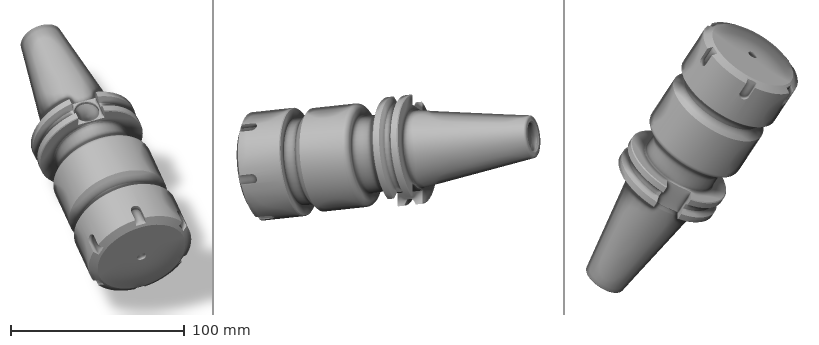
import cadquery as cq
import math

LENGTH = 172.9

TAPER_LENGTH = 68.3
TAPER_SLOPE = 7 / 48
GAUGE_RADIUS = 44.5 / 2
TAPER_END_FILLET = 1.4
FLANGE_START = 71.5
FLANGE_END = 87.1
FLANGE_RADIUS = 31.6
FLANGE_CHAMFER = 0.5
ROOT_FILLET = 0.9
GROOVE_CENTER = 79.4
GROOVE_FLOOR_WIDTH = 3.3
GROOVE_FLOOR_RADIUS = 28.2
GROOVE_FLANK_ANGLE = 30.0

SLOT_WIDTH = 16.0
UPPER_SLOT_FLOOR = 24.5
LOWER_SLOT_FLOOR = 22.7
DIMPLE_DIAMETER = 14.4
DIMPLE_RIM_CHAMFER = 0.3
DIMPLE_WALL_DEPTH = 2.0
DRILL_POINT_ANGLE = 118.0

BARREL_START = 103.2
BARREL_END = 132.8
BARREL_RADIUS = 60.0 / 2
BARREL_FILLET = 3.1
COLLAR_RADIUS = 50.3 / 2
THREAD_RADIUS = 50.0 / 2

MOUTH_DIAMETER = 18.3
PILOT_DIAMETER = 16.5
PILOT_DEPTH = 4.3
BORE_DIAMETER = 13.3

COLLET_REAR_RADIUS = 31.0 / 2
COLLET_LARGE_RADIUS = 41.2 / 2
COLLET_FRONT_RADIUS = 38.0 / 2
COLLET_CONE_ANGLE = 8.0
COLLET_FRONT_LENGTH = 9.5
COLLET_HOLE_DIAMETER = 5.5

NUT_START = 144.4
NUT_RADIUS = 62.8 / 2
NUT_REAR_CHAMFER = 0.5
NUT_FACE_CHAMFER_LENGTH = 2.6
NUT_FACE_RADIUS = 26.8
SPANNER_SLOT_COUNT = 6
SPANNER_SLOT_WIDTH = 5.9
SPANNER_SLOT_LENGTH = 12.6
SPANNER_SLOT_FLOOR = 28.2

SHOULDER_X = LENGTH - COLLET_FRONT_LENGTH
COLLET_CONE_LENGTH = (COLLET_LARGE_RADIUS - COLLET_REAR_RADIUS) / math.tan(math.radians(COLLET_CONE_ANGLE))
COLLET_REAR_X = SHOULDER_X - COLLET_CONE_LENGTH


def revolve_about_x(profile):
    """Turn a closed (x, radius) sketch about the X axis."""
    return profile.close().revolve(360, (0, 0, 0), (1, 0, 0))


def rod(x_start, x_end, radius):
    return cq.Workplane("YZ", origin=(x_start, 0, 0)).circle(radius).extrude(x_end - x_start)


def quarter_round_middle(center_x, center_r, radius, x_side, r_side):
    """Middle point of a quarter-round, on the given sides of its centre."""
    offset = radius * math.sqrt(0.5)
    return (center_x + x_side * offset, center_r + r_side * offset)


def outer_round(sketch, x_face, rim_radius, fillet):
    """Round from a face facing -X onto the surface of radius rim_radius."""
    center_x = x_face + fillet
    center_r = rim_radius - fillet
    middle = quarter_round_middle(center_x, center_r, fillet, -1, 1)
    return sketch.lineTo(x_face, center_r).threePointArc(middle, (center_x, rim_radius))


def round_up_to_wall(sketch, x_wall):
    """Root fillet that leaves the gauge radius and climbs the wall at x_wall."""
    center_x = x_wall - ROOT_FILLET
    center_r = GAUGE_RADIUS + ROOT_FILLET
    middle = quarter_round_middle(center_x, center_r, ROOT_FILLET, 1, -1)
    return sketch.lineTo(center_x, GAUGE_RADIUS).threePointArc(middle, (x_wall, center_r))


def round_down_from_wall(sketch, x_wall):
    """Root fillet that leaves the wall at x_wall and runs out on the gauge radius."""
    center_x = x_wall + ROOT_FILLET
    center_r = GAUGE_RADIUS + ROOT_FILLET
    middle = quarter_round_middle(center_x, center_r, ROOT_FILLET, -1, -1)
    return sketch.lineTo(x_wall, center_r).threePointArc(middle, (center_x, GAUGE_RADIUS))


def holder_blank():
    """Turned outside of the holder, from the small end of the taper to the threaded nose."""
    end_radius = GAUGE_RADIUS - TAPER_LENGTH * TAPER_SLOPE
    fillet_radius = end_radius + TAPER_END_FILLET * TAPER_SLOPE
    flank_run = (FLANGE_RADIUS - GROOVE_FLOOR_RADIUS) * math.tan(math.radians(GROOVE_FLANK_ANGLE))
    half_floor = GROOVE_FLOOR_WIDTH / 2
    half_mouth = half_floor + flank_run
    rim = FLANGE_RADIUS - FLANGE_CHAMFER
    barrel_chamfer = BARREL_RADIUS - COLLAR_RADIUS

    profile = outer_round(cq.Workplane("XY"), 0, fillet_radius, TAPER_END_FILLET)
    profile = profile.lineTo(TAPER_LENGTH, GAUGE_RADIUS)
    profile = round_up_to_wall(profile, FLANGE_START)
    profile = (
        profile
        .lineTo(FLANGE_START, rim)
        .lineTo(FLANGE_START + FLANGE_CHAMFER, FLANGE_RADIUS)
        .lineTo(GROOVE_CENTER - half_mouth, FLANGE_RADIUS)
        .lineTo(GROOVE_CENTER - half_floor, GROOVE_FLOOR_RADIUS)
        .lineTo(GROOVE_CENTER + half_floor, GROOVE_FLOOR_RADIUS)
        .lineTo(GROOVE_CENTER + half_mouth, FLANGE_RADIUS)
        .lineTo(FLANGE_END - FLANGE_CHAMFER, FLANGE_RADIUS)
        .lineTo(FLANGE_END, rim)
    )
    profile = round_down_from_wall(profile, FLANGE_END)
    profile = round_up_to_wall(profile, BARREL_START)
    profile = outer_round(profile, BARREL_START, BARREL_RADIUS, BARREL_FILLET)
    profile = (
        profile
        .lineTo(BARREL_END, BARREL_RADIUS)
        .lineTo(BARREL_END + barrel_chamfer, COLLAR_RADIUS)
        .lineTo(NUT_START, COLLAR_RADIUS)
        .lineTo(NUT_START, THREAD_RADIUS)
        .lineTo(SHOULDER_X, THREAD_RADIUS)
        .lineTo(SHOULDER_X, 0)
    )
    return revolve_about_x(profile)


def drawbar_bore():
    """Chamfered mouth, pilot bore and the narrower bore that runs on to the collet socket."""
    mouth_chamfer = (MOUTH_DIAMETER - PILOT_DIAMETER) / 2
    step = (PILOT_DIAMETER - BORE_DIAMETER) / 2
    return revolve_about_x(
        cq.Workplane("XY")
        .lineTo(0, MOUTH_DIAMETER / 2)
        .lineTo(mouth_chamfer, PILOT_DIAMETER / 2)
        .lineTo(PILOT_DEPTH, PILOT_DIAMETER / 2)
        .lineTo(PILOT_DEPTH + step, BORE_DIAMETER / 2)
        .lineTo(COLLET_REAR_X, BORE_DIAMETER / 2)
        .lineTo(COLLET_REAR_X, 0)
    )


def drive_slot(floor, side):
    """Slot across the flange; side is +1 for the upper slot and -1 for the lower one."""
    depth = FLANGE_RADIUS - floor
    return (
        cq.Workplane("XY")
        .box(FLANGE_END - FLANGE_START, SLOT_WIDTH, depth)
        .translate(((FLANGE_START + FLANGE_END) / 2, 0, side * (floor + depth / 2)))
    )


def dimple():
    radius = DIMPLE_DIAMETER / 2
    point_depth = radius / math.tan(math.radians(DRILL_POINT_ANGLE / 2))
    return (
        cq.Workplane("XZ")
        .lineTo(radius + DIMPLE_RIM_CHAMFER, 0)
        .lineTo(radius, -DIMPLE_RIM_CHAMFER)
        .lineTo(radius, -DIMPLE_WALL_DEPTH)
        .lineTo(0, -DIMPLE_WALL_DEPTH - point_depth)
        .close()
        .revolve(360, (0, 0, 0), (0, 1, 0))
        .translate((GROOVE_CENTER, 0, UPPER_SLOT_FLOOR))
    )


def collet_envelope():
    """Solid collet shape: long clamping cone, then a smaller front that passes through the nut."""
    return revolve_about_x(
        cq.Workplane("XY")
        .moveTo(COLLET_REAR_X, 0)
        .lineTo(COLLET_REAR_X, COLLET_REAR_RADIUS)
        .lineTo(SHOULDER_X, COLLET_LARGE_RADIUS)
        .lineTo(SHOULDER_X, COLLET_FRONT_RADIUS)
        .lineTo(LENGTH, COLLET_FRONT_RADIUS)
        .lineTo(LENGTH, 0)
    )


def make_holder():
    return (
        holder_blank()
        .cut(drawbar_bore())
        .cut(drive_slot(UPPER_SLOT_FLOOR, 1))
        .cut(drive_slot(LOWER_SLOT_FLOOR, -1))
        .cut(dimple())
        .cut(collet_envelope())
    )


def make_collet():
    return collet_envelope().cut(rod(COLLET_REAR_X, LENGTH, COLLET_HOLE_DIAMETER / 2))


def spanner_slot():
    """Round-ended slot in the rim at the top of the nut, open at the face."""
    end_radius = SPANNER_SLOT_WIDTH / 2
    round_center = LENGTH - SPANNER_SLOT_LENGTH + end_radius
    depth = NUT_RADIUS - SPANNER_SLOT_FLOOR
    return (
        cq.Workplane("XY", origin=(0, 0, SPANNER_SLOT_FLOOR))
        .moveTo(LENGTH, -end_radius)
        .lineTo(round_center, -end_radius)
        .threePointArc((round_center - end_radius, 0), (round_center, end_radius))
        .lineTo(LENGTH, end_radius)
        .close()
        .extrude(depth)
    )


def make_nut():
    nut = revolve_about_x(
        cq.Workplane("XY")
        .moveTo(NUT_START, THREAD_RADIUS)
        .lineTo(NUT_START, NUT_RADIUS - NUT_REAR_CHAMFER)
        .lineTo(NUT_START + NUT_REAR_CHAMFER, NUT_RADIUS)
        .lineTo(LENGTH - NUT_FACE_CHAMFER_LENGTH, NUT_RADIUS)
        .lineTo(LENGTH, NUT_FACE_RADIUS)
        .lineTo(LENGTH, COLLET_FRONT_RADIUS)
        .lineTo(SHOULDER_X, COLLET_FRONT_RADIUS)
        .lineTo(SHOULDER_X, THREAD_RADIUS)
    )
    for index in range(SPANNER_SLOT_COUNT):
        angle = index * 360 / SPANNER_SLOT_COUNT
        nut = nut.cut(spanner_slot().rotate((0, 0, 0), (1, 0, 0), angle))
    return nut


holder = make_holder()
collet = make_collet()
nut = make_nut()

result = cq.Compound.makeCompound([holder.val(), collet.val(), nut.val()])